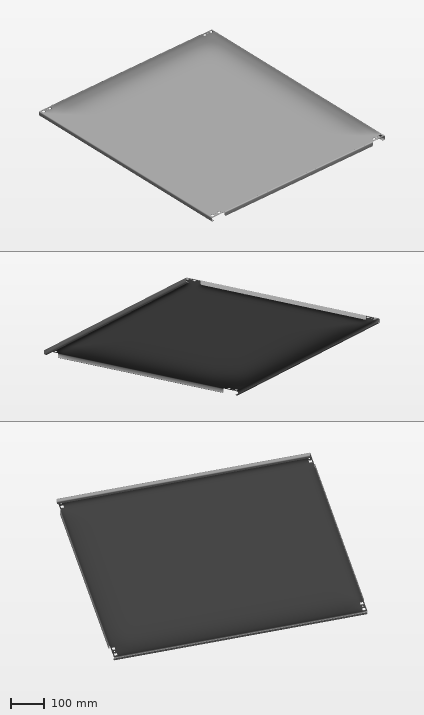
import cadquery as cq
import math

length_x = 799.0
width_y = 700.0
height = 15.0

thickness = 1.5
bend_radius = 3.5
inner_radius = bend_radius - thickness

panel_length_x = 793.0
return_lip = 9.5

side_flange_length = 597.0
side_corner_chamfer = 3.0

opening_size = 9.5
corner_inset_x = 8.25
corner_inset_y = 24.75
opening_pitch = 25.5
hole_diameter = 5.0


def point_on_circle(center, radius, angle):
    """Point on a circle at the given angle in degrees."""
    turn = math.radians(angle)
    return (center[0] + radius * math.cos(turn), center[1] + radius * math.sin(turn))


def make_channel_panel():
    """Panel with a C-shaped fold along its front and rear edges."""
    half = width_y / 2
    bend_y = half - bend_radius
    upper_bend = (bend_y, height - bend_radius)
    lower_bend = (bend_y, bend_radius)
    lip_end = half - return_lip
    rear_half = (
        cq.Workplane("YZ")
        .moveTo(0, height)
        .lineTo(bend_y, height)
        .threePointArc(point_on_circle(upper_bend, bend_radius, 45), (half, height - bend_radius))
        .lineTo(half, bend_radius)
        .threePointArc(point_on_circle(lower_bend, bend_radius, -45), (bend_y, 0))
        .lineTo(lip_end, 0)
        .lineTo(lip_end, thickness)
        .lineTo(bend_y, thickness)
        .threePointArc(point_on_circle(lower_bend, inner_radius, -45), (half - thickness, bend_radius))
        .lineTo(half - thickness, height - bend_radius)
        .threePointArc(point_on_circle(upper_bend, inner_radius, 45), (bend_y, height - thickness))
        .lineTo(0, height - thickness)
        .close()
        .extrude(panel_length_x / 2, both=True)
    )
    return rear_half.union(rear_half.mirror("XZ"))


def make_side_flange():
    """Flange folded down along the +X edge, with chamfered lower corners."""
    outer_x = length_x / 2
    bend_x = outer_x - bend_radius
    bend = (bend_x, height - bend_radius)
    flange = (
        cq.Workplane("XZ")
        .moveTo(bend_x, height)
        .threePointArc(point_on_circle(bend, bend_radius, 45), (outer_x, height - bend_radius))
        .lineTo(outer_x, 0)
        .lineTo(outer_x - thickness, 0)
        .lineTo(outer_x - thickness, height - bend_radius)
        .threePointArc(point_on_circle(bend, inner_radius, 45), (bend_x, height - thickness))
        .close()
        .extrude(side_flange_length / 2, both=True)
    )
    return flange.faces("<Z").edges("|X").chamfer(side_corner_chamfer)


def make_corner_cuts():
    """Openings and fixing holes through the panel at its four corners."""
    corner_x = panel_length_x / 2 - corner_inset_x
    corner_y = width_y / 2 - corner_inset_y
    corners = [(sx * corner_x, sy * corner_y) for sx in (-1, 1) for sy in (-1, 1)]
    openings = [(x, y + s * opening_pitch / 2) for x, y in corners for s in (-1, 1)]
    base = cq.Workplane("XY").workplane(offset=height - thickness)
    squares = base.pushPoints(openings).rect(opening_size, opening_size).extrude(thickness)
    holes = base.pushPoints(corners).circle(hole_diameter / 2).extrude(thickness)
    return squares.union(holes)


side_flange = make_side_flange()
result = (
    make_channel_panel()
    .union(side_flange)
    .union(side_flange.mirror("YZ"))
    .cut(make_corner_cuts())
)